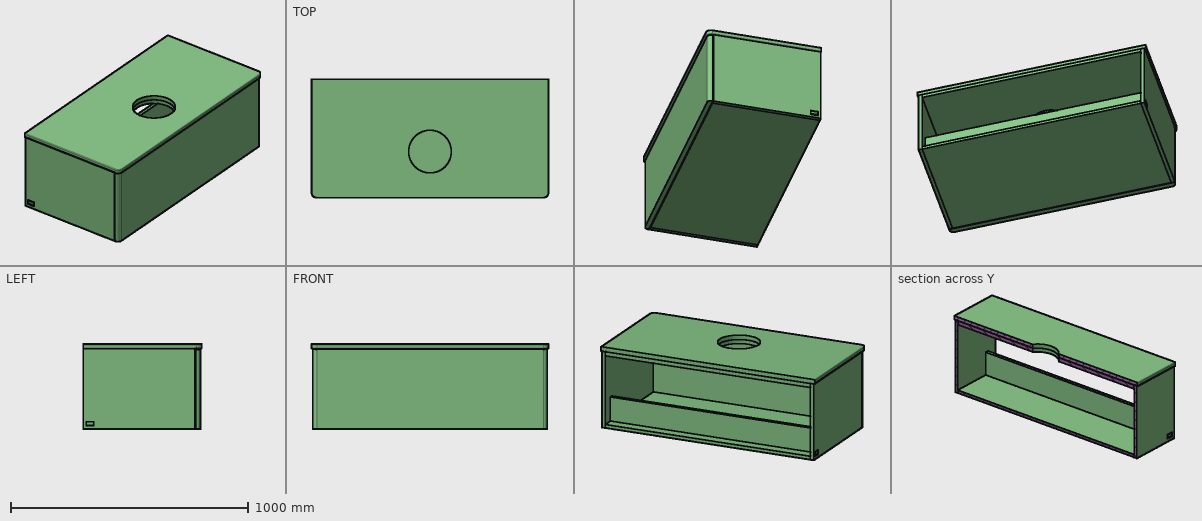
import cadquery as cq

WIDTH = 1000.0
DEPTH = 500.0
HEIGHT = 360.0
BACK_Y = DEPTH / 2

COUNTERTOP_THICKNESS = 20.0
COUNTERTOP_CORNER_RADIUS = 22.5
COUNTERTOP_TOP_FILLET = 3.0
COUNTERTOP_BOTTOM_FILLET = 2.5
COUNTERTOP_BOTTOM_Z = HEIGHT - COUNTERTOP_THICKNESS

DRAIN_DIAMETER = 180.0
DRAIN_Y = -55.0

SIDE_OVERHANG = 5.0
FRONT_OVERHANG = 5.5
CABINET_WIDTH = WIDTH - 2 * SIDE_OVERHANG
CABINET_FRONT_Y = -DEPTH / 2 + FRONT_OVERHANG
BOARD_THICKNESS = 16.0
TOP_BOARD_THICKNESS = 18.0
INNER_WIDTH = CABINET_WIDTH - 2 * BOARD_THICKNESS

FRONT_THICKNESS = 21.0
FRONT_CORNER_RADIUS = 18.0
FRONT_SIDE_GAP = 3.0
FRONT_TOP_GAP = 3.0
FRONT_HEIGHT = COUNTERTOP_BOTTOM_Z - FRONT_TOP_GAP
BOARD_FRONT_Y = CABINET_FRONT_Y + FRONT_THICKNESS + FRONT_SIDE_GAP
BOARD_DEPTH = BACK_Y - BOARD_FRONT_Y

BACK_PANEL_REAR_Y = 200.0
BACK_PANEL_TOP_Z = 123.0

COVER_LENGTH = 32.0
COVER_HEIGHT = 18.0
COVER_THICKNESS = 3.0
COVER_CENTER_Y = BACK_Y - 29.0
COVER_CENTER_Z = 23.0
COVER_BOTTOM_GAP = 2.0


def box_from_front(width, depth, height, front_y, bottom_z):
    """Box centred on X whose front face is at front_y and whose underside is at bottom_z."""
    box = cq.Workplane("XY").box(width, depth, height, centered=(True, False, False))
    return box.translate((0, front_y, bottom_z))


def cut_drain_hole(board):
    hole = cq.Workplane("XY").center(0, DRAIN_Y).circle(DRAIN_DIAMETER / 2).extrude(HEIGHT)
    return board.cut(hole)


def make_countertop():
    top = box_from_front(WIDTH, DEPTH, COUNTERTOP_THICKNESS, -DEPTH / 2, COUNTERTOP_BOTTOM_Z)
    top = top.edges("|Z and <Y").fillet(COUNTERTOP_CORNER_RADIUS)
    top = top.faces(">Z").edges("not >Y").fillet(COUNTERTOP_TOP_FILLET)
    top = top.faces("<Z").edges("not >Y").fillet(COUNTERTOP_BOTTOM_FILLET)
    return cut_drain_hole(top)


def make_top_board():
    bottom_z = COUNTERTOP_BOTTOM_Z - TOP_BOARD_THICKNESS
    board = box_from_front(INNER_WIDTH, BOARD_DEPTH, TOP_BOARD_THICKNESS, BOARD_FRONT_Y, bottom_z)
    return cut_drain_hole(board)


def make_bottom_board():
    return box_from_front(INNER_WIDTH, BOARD_DEPTH, BOARD_THICKNESS, BOARD_FRONT_Y, 0)


def make_back_panel():
    height = BACK_PANEL_TOP_Z - BOARD_THICKNESS
    front_y = BACK_PANEL_REAR_Y - BOARD_THICKNESS
    return box_from_front(INNER_WIDTH, BOARD_THICKNESS, height, front_y, BOARD_THICKNESS)


def make_drawer_front():
    front = box_from_front(CABINET_WIDTH, FRONT_THICKNESS, FRONT_HEIGHT, CABINET_FRONT_Y, 0)
    return front.edges("|Z and <Y").fillet(FRONT_CORNER_RADIUS)


def make_cover_block(side, bottom_gap):
    """Block at the cover's place on the -X side (side = -1) or the +X side (side = 1)."""
    center_x = side * (CABINET_WIDTH - COVER_THICKNESS) / 2
    block = cq.Workplane("XY").box(COVER_THICKNESS, COVER_LENGTH, COVER_HEIGHT - bottom_gap)
    return block.translate((center_x, COVER_CENTER_Y, COVER_CENTER_Z + bottom_gap / 2))


def make_cover(side):
    return make_cover_block(side, COVER_BOTTOM_GAP)


def make_side(side):
    """Side board with the recess that holds its cover plate."""
    center_x = side * (CABINET_WIDTH - BOARD_THICKNESS) / 2
    board = box_from_front(BOARD_THICKNESS, BOARD_DEPTH, COUNTERTOP_BOTTOM_Z, BOARD_FRONT_Y, 0)
    return board.translate((center_x, 0, 0)).cut(make_cover_block(side, 0))


bodies = [
    make_countertop().val(),
    make_top_board().val(),
    make_bottom_board().val(),
    make_back_panel().val(),
    make_drawer_front().val(),
]
for side in (-1, 1):
    bodies.append(make_side(side).val())
    bodies.append(make_cover(side).val())

result = cq.Compound.makeCompound(bodies)